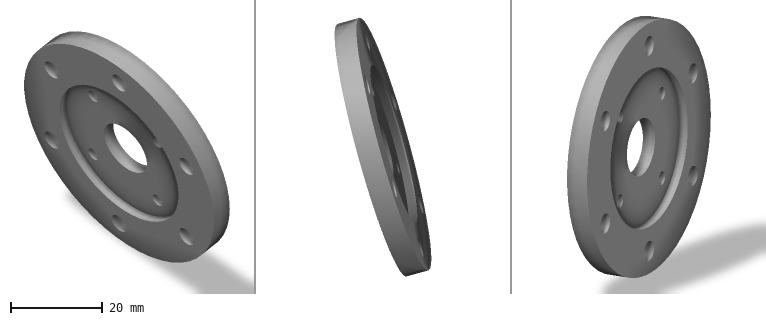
import cadquery as cq

disc_diameter = 57.5
disc_thickness = 5.0
recess_diameter = 36.0
recess_depth = 2.0
bore_diameter = 13.0

rim_hole_count = 6
rim_hole_diameter = 4.5
rim_circle_radius = 23.5
first_rim_hole_angle = 90

floor_hole_diameter = 3.0
floor_hole_spacing = 19.45


def make_disc():
    """Disc with its front face at Y = 0 and its body toward +Y."""
    return cq.Workplane("XZ").circle(disc_diameter / 2).extrude(-disc_thickness)


def make_recess():
    """Shallow round pocket sunk into the front face."""
    return cq.Workplane("XZ").circle(recess_diameter / 2).extrude(-recess_depth)


def make_bore():
    """Central through bore."""
    return cq.Workplane("XZ").circle(bore_diameter / 2).extrude(-disc_thickness)


def make_rim_holes():
    """Through holes evenly spaced around the rim."""
    return (
        cq.Workplane("XZ")
        .polarArray(rim_circle_radius, first_rim_hole_angle, 360, rim_hole_count)
        .circle(rim_hole_diameter / 2)
        .extrude(-disc_thickness)
    )


def make_floor_holes():
    """Four through holes at the corners of a square around the bore."""
    return (
        cq.Workplane("XZ")
        .rect(floor_hole_spacing, floor_hole_spacing, forConstruction=True)
        .vertices()
        .circle(floor_hole_diameter / 2)
        .extrude(-disc_thickness)
    )


result = (
    make_disc()
    .cut(make_recess())
    .cut(make_bore())
    .cut(make_rim_holes())
    .cut(make_floor_holes())
)